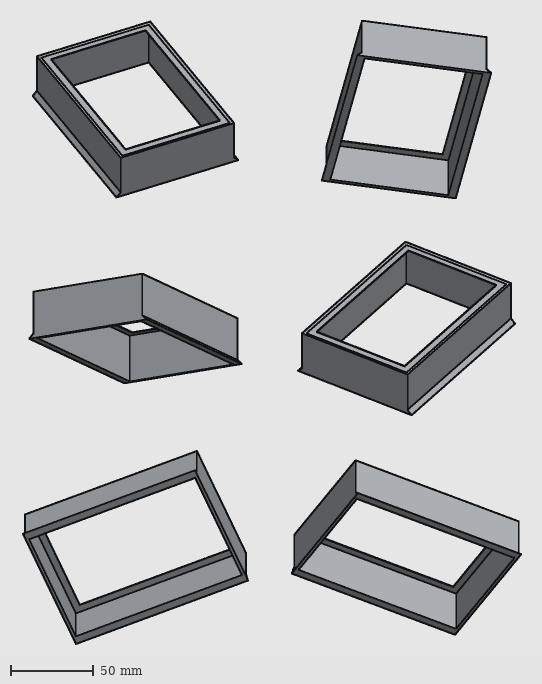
import cadquery as cq

length = 113.6
base_width = 83.0
height = 29.4

wall = 2.0
lip_reach = 4.4
lip_thickness = 0.5
flare = 3.0
body_width = base_width - 2 * flare

profile = [
    (-base_width / 2, 0),
    (base_width / 2, 0),
    (body_width / 2, flare),
    (body_width / 2, height),
    (-body_width / 2, height),
    (-body_width / 2, flare),
]
body = cq.Workplane("YZ").polyline(profile).close().extrude(length / 2, both=True)


def through_opening(margin, top):
    """Rectangular cutter set in from the body sides by margin, from the base up to top."""
    return cq.Workplane("XY").rect(length - 2 * margin, body_width - 2 * margin).extrude(top)


cavity = through_opening(wall, height - lip_thickness)
lip_opening = through_opening(wall + lip_reach, height)

result = body.cut(cavity).cut(lip_opening)